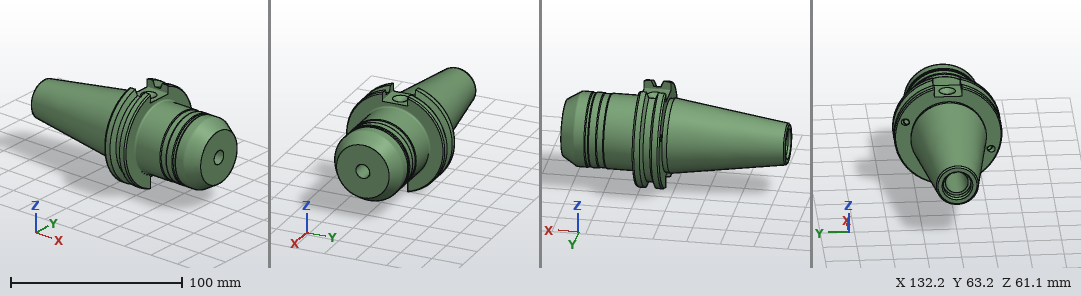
import cadquery as cq
import math

total_length = 132.2

gauge_radius = 44.5 / 2
taper_length = 68.4
taper_ratio = 7 / 48
small_end_radius = gauge_radius - taper_ratio * taper_length
small_end_chamfer = 0.8
relief_radius = 43.5 / 2
relief_start = 70.0

flange_start = 71.3
flange_end = 87.3
flange_radius = 63.2 / 2
flange_chamfer_length = 1.0
flange_chamfer_height = 0.7
groove_radius = 28.0
groove_floor_start = 77.4
groove_floor_end = 81.3
groove_flank_length = 1.6
groove_lip_start = groove_floor_start - groove_flank_length
groove_lip_end = groove_floor_end + groove_flank_length
groove_middle = (groove_floor_start + groove_floor_end) / 2

nose_radius = 44.5 / 2
nose_fillet = 1.0
band_radius = 43.6 / 2
band_spans = [(105.8, 110.7), (114.8, 117.6)]
band_ramp = 0.7
nose_edge_round_start = 123.1
nose_edge_angle = math.radians(30)
nose_edge_radius = 2.0
nose_cone_end = 131.0
nose_cone_end_radius = 17.7
nose_cone_start = nose_edge_round_start + nose_edge_radius * math.sin(nose_edge_angle)
nose_cone_start_radius = nose_radius - nose_edge_radius * (1 - math.cos(nose_edge_angle))
nose_face_radius = 16.9

bore_mouth_radius = 18.0 / 2
mouth_cone_depth = 1.6
counterbore_radius = 16.4 / 2
counterbore_depth = 4.9
bore_radius = 13.4 / 2
bore_depth = 33.0
through_radius = 8.9 / 2
drill_tip_slope = math.tan(math.radians(30))

slot_width = 16.3
slot_corner_fillet = 0.4
upper_slot_floor = 25.0
lower_slot_floor = 22.4

dimple_radius = 9.5 / 2
dimple_depth = dimple_radius * drill_tip_slope

port_radius = 4.0 / 2
port_inner_radius = 3.3 / 2
port_y = 25.3
port_z = 9.4
port_tilt = math.radians(30)
port_counterbore_depth = 2.0
port_depth = 8.0


def body():
    """Revolved outer shape of the holder."""
    chamfer_radius = flange_radius - flange_chamfer_height
    profile = (
        cq.Workplane("XY")
        .lineTo(0, small_end_radius - small_end_chamfer)
        .lineTo(small_end_chamfer, small_end_radius + taper_ratio * small_end_chamfer)
        .lineTo(taper_length, gauge_radius)
        .lineTo(relief_start, relief_radius)
        .lineTo(flange_start, relief_radius)
        .lineTo(flange_start, chamfer_radius)
        .lineTo(flange_start + flange_chamfer_length, flange_radius)
        .lineTo(groove_lip_start, flange_radius)
        .lineTo(groove_floor_start, groove_radius)
        .lineTo(groove_floor_end, groove_radius)
        .lineTo(groove_lip_end, flange_radius)
        .lineTo(flange_end - flange_chamfer_length, flange_radius)
        .lineTo(flange_end, chamfer_radius)
        .lineTo(flange_end, nose_radius + nose_fillet)
        .radiusArc((flange_end + nose_fillet, nose_radius), -nose_fillet)
    )
    for start, end in band_spans:
        profile = (
            profile.lineTo(start, nose_radius)
            .lineTo(start + band_ramp, band_radius)
            .lineTo(end - band_ramp, band_radius)
            .lineTo(end, nose_radius)
        )
    profile = (
        profile.lineTo(nose_edge_round_start, nose_radius)
        .radiusArc((nose_cone_start, nose_cone_start_radius), nose_edge_radius)
        .lineTo(nose_cone_end, nose_cone_end_radius)
        .lineTo(total_length, nose_face_radius)
        .lineTo(total_length, 0)
        .close()
    )
    return profile.revolve(360, (0, 0), (1, 0))


def bore():
    """Stepped bore, open at both ends."""
    bore_cone_length = (bore_radius - through_radius) * drill_tip_slope
    return (
        cq.Workplane("XY")
        .lineTo(0, bore_mouth_radius)
        .lineTo(mouth_cone_depth, counterbore_radius)
        .lineTo(counterbore_depth, counterbore_radius)
        .lineTo(counterbore_depth, bore_radius)
        .lineTo(bore_depth, bore_radius)
        .lineTo(bore_depth + bore_cone_length, through_radius)
        .lineTo(total_length, through_radius)
        .lineTo(total_length, 0)
        .close()
        .revolve(360, (0, 0), (1, 0))
    )


def drive_slot(floor_height, side):
    """Slot across the flange; side is +1 for the top and -1 for the bottom."""
    slot_height = flange_radius - floor_height
    floor_edges = "|X and <Z" if side > 0 else "|X and >Z"
    cutter = cq.Workplane("XY").box(flange_end - flange_start, slot_width, slot_height)
    cutter = cutter.edges(floor_edges).fillet(slot_corner_fillet)
    return cutter.translate(((flange_start + flange_end) / 2, 0, side * (floor_height + slot_height / 2)))


def dimple():
    """Cone pointing down from the upper slot floor."""
    return cq.Workplane(cq.Solid.makeCone(
        dimple_radius, 0, dimple_depth,
        cq.Vector(groove_middle, 0, upper_slot_floor), cq.Vector(0, 0, -1),
    ))


def coolant_port(side):
    """Stepped hole leaning towards the axis; side picks the +Y or -Y port."""
    mouth = cq.Vector(flange_start, side * port_y, side * port_z)
    inward = cq.Vector(0, -side * port_y, -side * port_z).normalized()
    direction = cq.Vector(math.cos(port_tilt), 0, 0) + inward * math.sin(port_tilt)
    lead = port_radius
    origin = mouth - direction * lead
    wide = cq.Solid.makeCylinder(port_radius, lead + port_counterbore_depth, origin, direction)
    narrow = cq.Solid.makeCylinder(port_inner_radius, lead + port_depth, origin, direction)
    return cq.Workplane(wide.fuse(narrow))


result = (
    body()
    .cut(bore())
    .cut(drive_slot(upper_slot_floor, 1))
    .cut(drive_slot(lower_slot_floor, -1))
    .cut(dimple())
)
for port_side in (1, -1):
    result = result.cut(coolant_port(port_side))